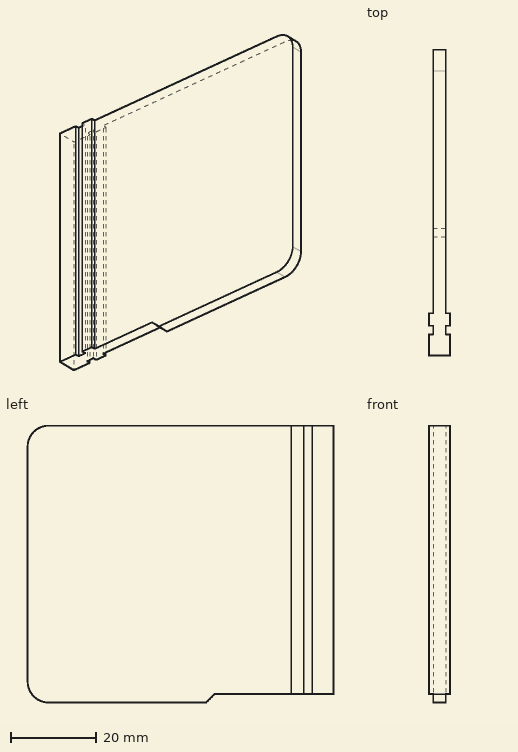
import cadquery as cq

length = 72.0
height = 65.2
rail_thickness = 5.0
plate_thickness = 3.0

edge_strip_width = 5.0
groove_width = 2.0
rib_width = 3.0

corner_radius = 5.0
step_height = 2.0
step_start = 28.0


def make_plate():
    """Thin plate with two rounded far corners and a sloped step in its lower edge."""
    outline = [
        (0, step_height),
        (step_start, step_height),
        (step_start + step_height, 0),
        (length, 0),
        (length, height),
        (0, height),
    ]
    plate = cq.Workplane("YZ").polyline(outline).close().extrude(plate_thickness / 2, both=True)
    return plate.edges("|X and >Y").fillet(corner_radius)


def make_rail(y_start, width):
    """Full-thickness vertical strip, centred on the plate in X."""
    rail_height = height - step_height
    rail = cq.Workplane("XY").box(rail_thickness, width, rail_height, centered=(True, False, False))
    return rail.translate((0, y_start, step_height))


edge_strip = make_rail(0, edge_strip_width)
rib = make_rail(edge_strip_width + groove_width, rib_width)

result = make_plate().union(edge_strip).union(rib)